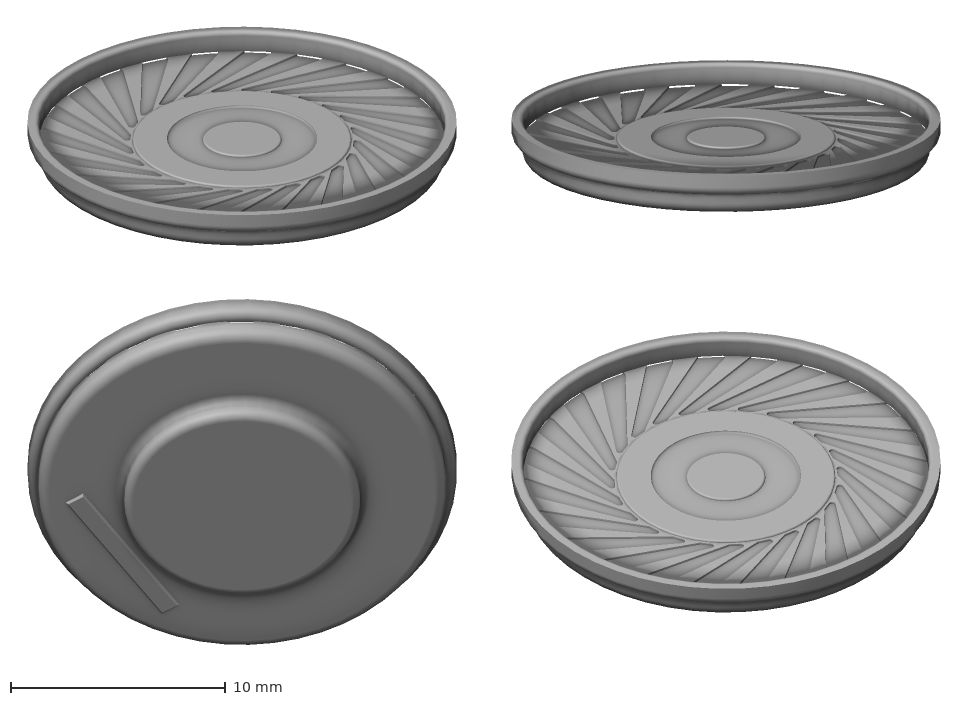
import cadquery as cq
import math

neck_height = 1.0
cup_height = 1.0
rim_height = 1.0
cup_top = neck_height + cup_height

cup_radius = 9.5
cup_fillet = 0.5
neck_radius = 5.5
neck_fillet = 0.4

plate_radius = 5.1
recess_radius = 3.5
button_radius = 1.85
step_height = 0.1
step_fillet = 0.098

groove_count = 24
groove_depth = 0.1
groove_taper = 10.0
groove_offset = 4.55
groove_spread = math.radians(6.7)
groove_root_width = 0.28
groove_inner_radius = 5.2
groove_outer_radius = 9.8
groove_inner_fillet = 0.15
groove_outer_fillet = 0.4
inner_corner_zone = ((0, -6, -0.2), (8, 0, 0.2))

strip_length = 8.08
strip_width = 1.0
strip_depth = 0.1
strip_taper = 45.0
strip_offset = 6.7

rim_radius = 10.0
rim_inner_radius = 9.45
rim_bottom_fillet = 0.4
rim_lip_fillet = 0.2


def disc(radius, bottom, height):
    return cq.Workplane("XY", origin=(0, 0, bottom)).circle(radius).extrude(height)


def polar(radius, angle):
    return (radius * math.cos(angle), radius * math.sin(angle))


def groove_outline():
    """A straight side parallel to Y and a side that leans away from it, joined by arcs about the axis."""
    lean_offset = (groove_offset + groove_root_width) * math.cos(groove_spread)

    def corners(radius):
        straight = -math.acos(groove_offset / radius)
        lean = groove_spread - math.acos(lean_offset / radius)
        return [polar(radius, angle) for angle in (straight, (straight + lean) / 2, lean)]

    inner_straight, inner_mid, inner_lean = corners(groove_inner_radius)
    outer_straight, outer_mid, outer_lean = corners(groove_outer_radius)
    outline = (
        cq.Sketch()
        .segment(inner_straight, outer_straight)
        .arc(outer_straight, outer_mid, outer_lean)
        .segment(outer_lean, inner_lean)
        .arc(inner_lean, inner_mid, inner_straight)
        .assemble()
    )
    outline = outline.vertices(cq.selectors.BoxSelector(*inner_corner_zone)).fillet(groove_inner_fillet)
    return outline.reset().vertices("<Y or >X").fillet(groove_outer_fillet)


def make_groove():
    return (
        cq.Workplane("XY", origin=(0, 0, cup_top))
        .placeSketch(groove_outline())
        .extrude(-groove_depth, taper=groove_taper)
    )


def raised_step(radius, bottom):
    """Low disc with a rounded upper edge."""
    return disc(radius, bottom, step_height).faces(">Z").edges().fillet(step_fillet)


def sunk_step(radius, bottom):
    """Cutter for a shallow round recess with a rounded floor edge."""
    return disc(radius, bottom, step_height).faces("<Z").edges().fillet(step_fillet)


def make_strip():
    return (
        cq.Workplane("XY", origin=(0, -strip_offset, neck_height))
        .rect(strip_length, strip_width)
        .extrude(-strip_depth, taper=strip_taper)
    )


def make_cup():
    neck = disc(neck_radius, 0, neck_height).faces("<Z").edges().fillet(neck_fillet)
    cup = disc(cup_radius, neck_height, cup_height).faces("<Z").edges().fillet(cup_fillet)
    cup = cup.union(neck)
    reach = neck_radius + 0.1
    neck_root = cq.selectors.BoxSelector(
        (-reach, -reach, neck_height - 0.02), (reach, reach, neck_height + 0.02)
    )
    cup = cup.edges(neck_root).fillet(neck_fillet)

    cup = cup.union(raised_step(plate_radius, cup_top))
    cup = cup.cut(sunk_step(recess_radius, cup_top))
    cup = cup.union(raised_step(button_radius, cup_top))
    cup = cup.union(make_strip())

    groove = make_groove()
    pitch = 360 / groove_count
    for i in range(groove_count):
        cup = cup.cut(groove.rotate((0, 0, 0), (0, 0, 1), i * pitch))
    return cup


def make_rim():
    ring = (
        cq.Workplane("XY", origin=(0, 0, cup_top))
        .circle(rim_radius)
        .circle(rim_inner_radius)
        .extrude(rim_height)
    )
    ring = ring.faces("<Z").edges(cq.selectors.RadiusNthSelector(-1)).fillet(rim_bottom_fillet)
    return ring.faces(">Z").edges(cq.selectors.RadiusNthSelector(0)).fillet(rim_lip_fillet)


cup = make_cup()
rim = make_rim()
result = cq.Compound.makeCompound([cup.val(), rim.val()])